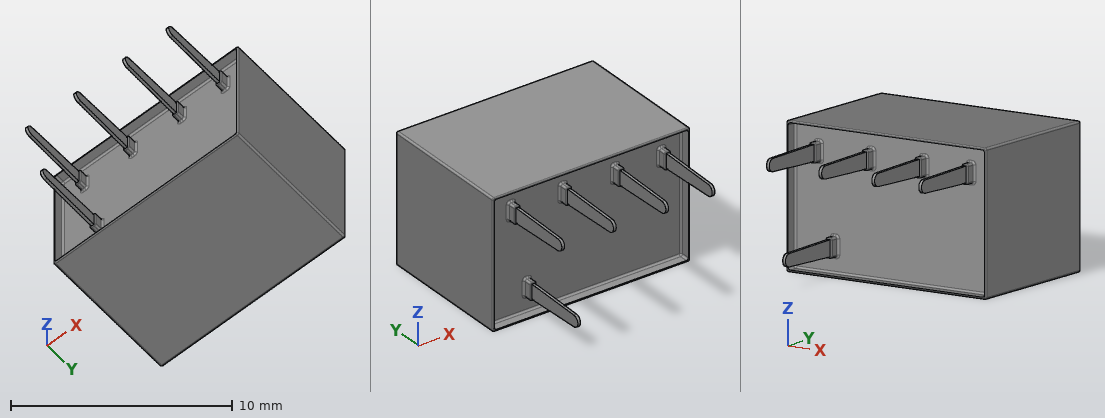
import cadquery as cq
import math


housing_length = 11.0
housing_depth = 7.5
housing_height = 7.0
housing_edge_radius = 0.1
rim_width = 0.1
rim_edge_radius = 0.05
recess_depth = 0.54
recess_corner_radius = 0.11
recess_floor_radius = 0.1

collar_width = 0.33
collar_height = 0.95
collar_length = 0.5
collar_corner_radius = 0.1
collar_end_radius = 0.04
collar_root_radius = 0.1

overall_depth = 11.0
pin_length_outside = overall_depth - housing_depth
pin_thickness = 0.15
pin_root_height = 0.79
pin_tip_radius = 0.31

pin_row_z = 2.15
upper_row_x = [-4.09, -1.21, 1.7, 4.29]
lower_row_x = [-3.2]
pin_places = [(x, pin_row_z) for x in upper_row_x] + [(x, -pin_row_z) for x in lower_row_x]

collar_end_y = recess_depth - collar_length


def block(width, height, y_start, y_end):
    """Box centred on the Y axis, reaching from y_start to y_end."""
    box = cq.Workplane("XY").box(width, y_end - y_start, height, centered=(True, False, True))
    return box.translate((0, y_start, 0))


def make_collar(x, z):
    """Rounded collar from its free end to the recess floor."""
    collar = block(collar_width, collar_height, collar_end_y, recess_depth)
    collar = collar.edges("|Y").fillet(collar_corner_radius)
    return collar.faces("<Y").edges().fillet(collar_end_radius).translate((x, 0, z))


def make_housing():
    """Rounded box with a shallow recess and one collar per pin, blended into the recess floor."""
    body = block(housing_length, housing_height, 0, housing_depth)
    body = body.edges("|Y or >Y").fillet(housing_edge_radius)
    body = body.faces("<Y").edges().fillet(rim_edge_radius)
    recess_length = housing_length - 2 * rim_width
    recess_height = housing_height - 2 * rim_width
    recess = block(recess_length, recess_height, -recess_depth, recess_depth)
    recess = recess.edges("|Y").fillet(recess_corner_radius)
    recess = recess.faces(">Y").edges().fillet(recess_floor_radius)
    body = body.cut(recess)

    for x, z in pin_places:
        body = body.union(make_collar(x, z))
    recess_floor = body.faces(cq.selectors.NearestToPointSelector((0, recess_depth, 0)))
    collar_roots = [edge for outline in recess_floor.val().innerWires() for edge in outline.Edges()]
    return body.newObject(collar_roots).fillet(collar_root_radius)


def make_pin(x, z):
    """Flat pin whose straight tapered sides run tangent into the round tip."""
    root_half = pin_root_height / 2
    tip_centre_y = -pin_length_outside + pin_tip_radius
    root_to_tip_centre = collar_end_y - tip_centre_y

    root_angle = math.atan2(root_half, root_to_tip_centre)
    root_distance = math.hypot(root_half, root_to_tip_centre)
    taper_angle = root_angle - math.asin(pin_tip_radius / root_distance)
    tangent_y = tip_centre_y - pin_tip_radius * math.sin(taper_angle)
    tangent_z = pin_tip_radius * math.cos(taper_angle)

    return (
        cq.Workplane("YZ")
        .moveTo(collar_end_y, root_half)
        .lineTo(tangent_y, tangent_z)
        .threePointArc((-pin_length_outside, 0), (tangent_y, -tangent_z))
        .lineTo(collar_end_y, -root_half)
        .close()
        .extrude(pin_thickness / 2, both=True)
        .translate((x, 0, z))
    )


housing = make_housing()
pins = [make_pin(x, z) for x, z in pin_places]

result = cq.Compound.makeCompound([housing.val(), *[pin.val() for pin in pins]])